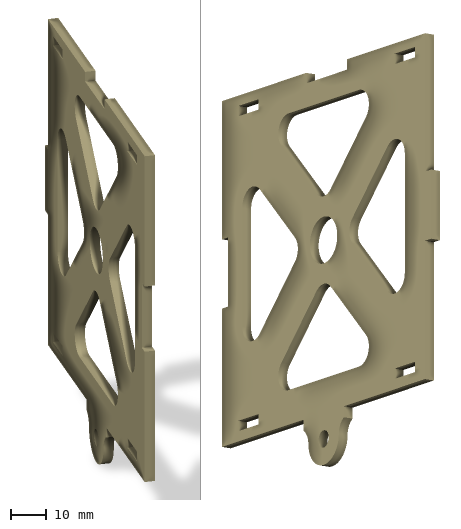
import cadquery as cq
import math

THICKNESS = 3.0
PLATE_SIDE = 100.0
FRAME_WIDTH = 10.0
WEB_WIDTH = 15.0
WINDOW_CORNER_RADIUS = 5.0
CENTRE_HOLE_DIAMETER = 13.5

JOINT_LENGTH = 20.0
JOINT_DEPTH = THICKNESS

SLOT_LENGTH = 10.0
SLOT_HEIGHT = THICKNESS
SLOT_SPACING = 77.0
SLOT_EDGE_GAP = 3.0

LUG_RADIUS = 7.5
LUG_HOLE_DIAMETER = 5.0
LUG_NECK_RADIUS = 5.0

HALF_SIDE = PLATE_SIDE / 2
OVERALL_CENTRE_X = -JOINT_DEPTH / 2
LUG_CENTRE_Z = -HALF_SIDE - LUG_RADIUS
SLOT_CENTRE_Z = HALF_SIDE - SLOT_EDGE_GAP - SLOT_HEIGHT / 2


def front_sketch():
    """Workplane whose local axes are X and Z, with its normal along -Y."""
    return cq.Workplane("XZ")


def extrude_thickness(sketch):
    """Turn a closed outline into a body from Y = 0 to Y = THICKNESS."""
    return sketch.extrude(-THICKNESS)


def block(centre_x, centre_z, size_x, size_z):
    return extrude_thickness(front_sketch().center(centre_x, centre_z).rect(size_x, size_z))


def disc(centre_x, centre_z, diameter):
    return extrude_thickness(front_sketch().center(centre_x, centre_z).circle(diameter / 2))


def window(angle):
    """Rounded triangular window above the centre, turned about the Y axis by angle."""
    outer_z = HALF_SIDE - FRAME_WIDTH
    apex_z = WEB_WIDTH / 2 * math.sqrt(2)
    half_base = outer_z - apex_z
    triangle = front_sketch().polyline([(0, apex_z), (half_base, outer_z), (-half_base, outer_z)]).close()
    body = extrude_thickness(triangle).edges("|Y").fillet(WINDOW_CORNER_RADIUS)
    return body.rotate((0, 0, 0), (0, 1, 0), angle)


def lug():
    """Bottom tab narrowing through concave flanks into a round-ended lug."""
    half_tab = JOINT_LENGTH / 2
    neck_centre_x = LUG_RADIUS + LUG_NECK_RADIUS
    shoulder_z = LUG_CENTRE_Z + math.sqrt(LUG_NECK_RADIUS**2 - (neck_centre_x - half_tab) ** 2)
    outline = (
        front_sketch()
        .moveTo(-half_tab, -HALF_SIDE)
        .lineTo(-half_tab, shoulder_z)
        .radiusArc((-LUG_RADIUS, LUG_CENTRE_Z), LUG_NECK_RADIUS)
        .threePointArc((0, LUG_CENTRE_Z - LUG_RADIUS), (LUG_RADIUS, LUG_CENTRE_Z))
        .radiusArc((half_tab, shoulder_z), LUG_NECK_RADIUS)
        .lineTo(half_tab, -HALF_SIDE)
        .close()
    )
    return extrude_thickness(outline).cut(disc(0, LUG_CENTRE_Z, LUG_HOLE_DIAMETER))


plate = block(0, 0, PLATE_SIDE, PLATE_SIDE)
plate = plate.union(block(-HALF_SIDE - JOINT_DEPTH / 2, 0, JOINT_DEPTH, JOINT_LENGTH))
plate = plate.union(lug())

plate = plate.cut(block(HALF_SIDE - JOINT_DEPTH / 2, 0, JOINT_DEPTH, JOINT_LENGTH))
plate = plate.cut(block(OVERALL_CENTRE_X, HALF_SIDE - JOINT_DEPTH / 2, JOINT_LENGTH, JOINT_DEPTH))

for side_x in (-1, 1):
    slot_x = OVERALL_CENTRE_X + side_x * SLOT_SPACING / 2
    for side_z in (-1, 1):
        plate = plate.cut(block(slot_x, side_z * SLOT_CENTRE_Z, SLOT_LENGTH, SLOT_HEIGHT))

for quarter_turn in range(4):
    plate = plate.cut(window(90 * quarter_turn))
plate = plate.cut(disc(0, 0, CENTRE_HOLE_DIAMETER))

result = plate